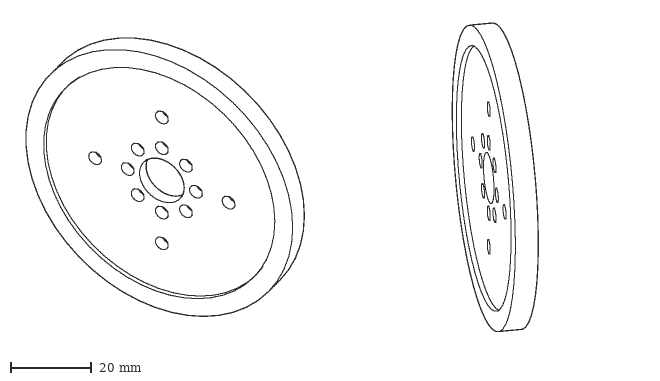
import cadquery as cq

wheel_diameter = 76.2
wheel_width = 5.84
bore_diameter = 12.7

recess_diameter = 66.0
recess_depth = 1.27

hole_diameter = 3.6
inner_hole_count = 8
inner_pitch_radius = 9.75
outer_hole_count = 4
outer_pitch_radius = 19.05

front_y = -wheel_width / 2
back_y = wheel_width / 2


def face_plane(y):
    """Sketch plane parallel to XZ at the given Y, extruding toward +Y."""
    return cq.Workplane(cq.Plane(origin=(0, y, 0), xDir=(1, 0, 0), normal=(0, 1, 0)))


def disc(diameter, start_y, length):
    """Round disc centred on the axle."""
    return face_plane(start_y).circle(diameter / 2).extrude(length)


def hole_circle(pitch_radius, count):
    """Evenly spaced through holes around the axle."""
    return (
        face_plane(front_y)
        .polarArray(pitch_radius, 0, 360, count)
        .circle(hole_diameter / 2)
        .extrude(wheel_width)
    )


result = (
    disc(wheel_diameter, front_y, wheel_width)
    .cut(disc(recess_diameter, front_y, recess_depth))
    .cut(disc(recess_diameter, back_y - recess_depth, recess_depth))
    .cut(disc(bore_diameter, front_y, wheel_width))
    .cut(hole_circle(inner_pitch_radius, inner_hole_count))
    .cut(hole_circle(outer_pitch_radius, outer_hole_count))
)